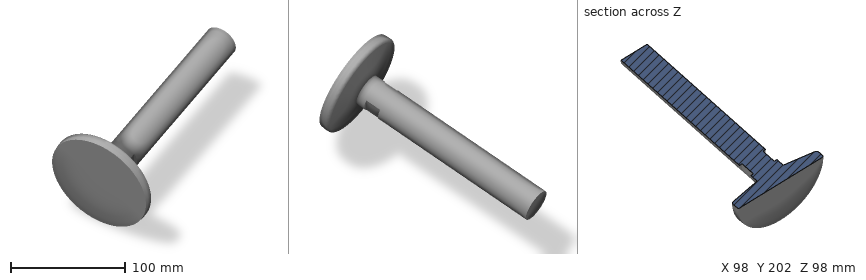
import cadquery as cq

total_length = 202.0
stem_diameter = 30.0
foot_diameter = 98.0

sole_diameter = 97.2
lower_rim_height = 3.6
shoulder_height = 9.5
foot_height = 15.2
shoulder_radius = 3.0

flat_start = 23.8
flat_length = 15.2
across_flats = 24.0

stem_radius = stem_diameter / 2
foot_radius = foot_diameter / 2


def make_foot():
    """Revolve the foot about the Y axis and round its shoulder."""
    foot = (
        cq.Workplane("XY")
        .moveTo(0, 0)
        .lineTo(sole_diameter / 2, 0)
        .lineTo(foot_radius, lower_rim_height)
        .lineTo(foot_radius, shoulder_height)
        .lineTo(stem_radius, foot_height)
        .lineTo(0, foot_height)
        .close()
        .revolve(360, (0, 0, 0), (0, 1, 0))
    )
    edge_tolerance = 0.2
    shoulder_edge = cq.selectors.BoxSelector(
        (-foot_diameter, shoulder_height - edge_tolerance, -foot_diameter),
        (foot_diameter, shoulder_height + edge_tolerance, foot_diameter),
        boundingbox=True,
    )
    return foot.edges(shoulder_edge).fillet(shoulder_radius)


def make_stem():
    """Round stem running from the back of the foot to the free end."""
    return (
        cq.Workplane("XZ", origin=(0, foot_height, 0))
        .circle(stem_radius)
        .extrude(foot_height - total_length)
    )


def make_flat_cutter(side):
    """Block that cuts the flat on the +X (side=1) or -X (side=-1) face."""
    cutter_depth = stem_radius
    return cq.Workplane("XY").box(cutter_depth, flat_length, stem_diameter).translate(
        (side * (across_flats + cutter_depth) / 2, flat_start + flat_length / 2, 0)
    )


result = make_foot().union(make_stem())
for side in (-1, 1):
    result = result.cut(make_flat_cutter(side))